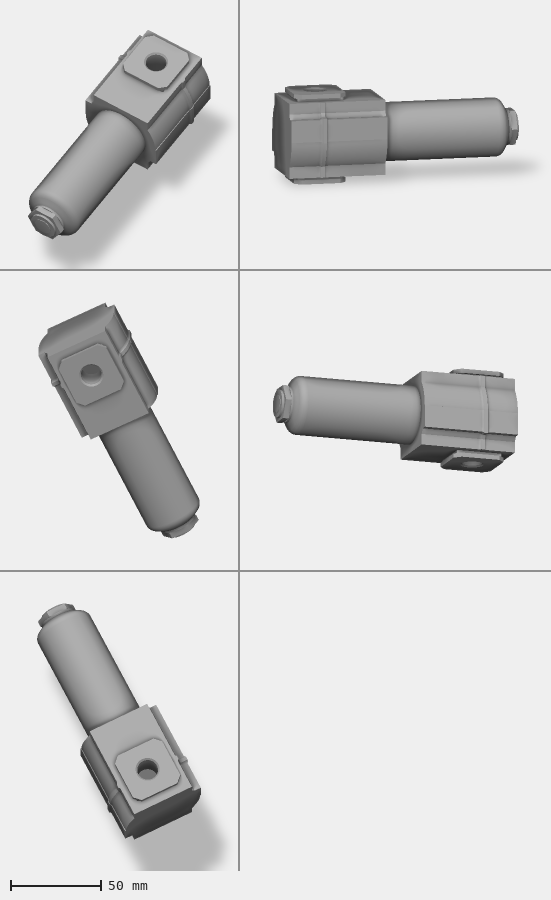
import cadquery as cq
import math


housing_height = 42.0
housing_length = 54.5
port_to_back = 18.9
wall_x = 17.8
lobe_x = 23.4
lobe_radius = 23.0
ledge_z = 12.2
ledge_inner_x = 19.5
bevel_top_z = 15.0

band_height = 0.8
band_flat_width = 2.1
band_fillet = 1.5
fillet_sections = 4

plate_width = 29.2
plate_corner = 3.6
plate_thickness = 2.4
overall_height = 50.3
neck_inset = 1.6
neck_corner = 0.5
port_radius = 5.7
port_chamfer = 0.9
port_depth = 16.0

bowl_radius = 16.4
bowl_straight = 65.8
shoulder_radius = 4.8
shoulder_angle = math.radians(58)
shoulder_length = 6.4
collar_radius = 10.2
collar_length = 1.3

hex_across_flats = 18.9
hex_length = 3.3
boss_radius = 7.8
boss_length = 1.3
tip_radius = 4.9
overall_length = 133.0

band_fillet_run = math.sqrt(band_fillet**2 - (band_fillet - band_height) ** 2)
half_height = housing_height / 2
plate_top = overall_height / 2
back_y = port_to_back
front_y = back_y - housing_length
shoulder_y = front_y - bowl_straight
collar_y = shoulder_y - shoulder_length
hex_y = collar_y - collar_length
boss_y = hex_y - hex_length
boss_end_y = boss_y - boss_length
tip_y = back_y - overall_length


def cylinder(radius, start_y, end_y):
    """Cylinder on the bowl axis, running toward -Y from start_y to end_y."""
    return cq.Workplane("XZ", origin=(0, start_y, 0)).circle(radius).extrude(start_y - end_y)


def side_outline(workplane, growth):
    """Draw the housing section, with its sides moved outward by growth.

    The section looks the same after half a turn about the bowl axis.
    """
    wall = wall_x + growth
    lobe = lobe_x + growth
    radius = lobe_radius + growth
    ledge = ledge_z + growth
    bevel_run = ledge_inner_x - wall_x
    bevel_rise = bevel_top_z - ledge_z
    bevel_length = math.hypot(bevel_run, bevel_rise)
    bevel_top = bevel_top_z + growth * (bevel_length - bevel_rise) / bevel_run
    ledge_inner = ledge_inner_x + growth * (bevel_length - bevel_run) / bevel_rise
    arc_end_z = math.sqrt(radius**2 - wall**2)
    step_z = growth
    arc_start_x = math.sqrt(radius**2 - step_z**2)
    middle_angle = (math.atan2(arc_end_z, wall) + math.atan2(step_z, arc_start_x)) / 2
    arc_middle = (radius * math.cos(middle_angle), radius * math.sin(middle_angle))

    outline = workplane.moveTo(wall, half_height)
    for side in (1, -1):
        outline = (
            outline.lineTo(side * wall, side * arc_end_z)
            .threePointArc(
                (side * arc_middle[0], side * arc_middle[1]),
                (side * arc_start_x, side * step_z),
            )
            .lineTo(side * lobe, side * step_z)
            .lineTo(side * lobe, -side * ledge)
            .lineTo(side * ledge_inner, -side * ledge)
            .lineTo(side * wall, -side * bevel_top)
            .lineTo(side * wall, -side * half_height)
            .lineTo(-side * wall, -side * half_height)
        )
    return outline.close()


def make_band_flank():
    """Rear flank of the band, a concave fillet from the wall up to the band top.

    It is a smooth loft through housing sections along the fillet arc.
    """
    fillet_start_y = band_flat_width / 2 + band_fillet_run
    fillet_angle = math.asin(band_fillet_run / band_fillet)
    flank = cq.Workplane("XZ", origin=(0, fillet_start_y, 0))
    previous_run = 0
    for section in range(fillet_sections):
        angle = fillet_angle * section / (fillet_sections - 1)
        run = band_fillet * math.sin(angle)
        growth = band_fillet * (1 - math.cos(angle))
        flank = side_outline(flank.workplane(offset=run - previous_run), growth)
        previous_run = run
    return flank.loft()


def make_band():
    """Raised band centred on the port axis, with a concave fillet along each edge."""
    middle_start = cq.Workplane("XZ", origin=(0, band_flat_width / 2, 0))
    middle = side_outline(middle_start, band_height).extrude(band_flat_width)
    flank = make_band_flank()
    return middle.union(flank).union(flank.mirror("XZ"))


def make_port_plate():
    """Upper port plate standing on its narrower neck."""
    neck_width = plate_width - 2 * neck_inset
    plate = (
        cq.Workplane("XY", origin=(0, 0, plate_top - plate_thickness))
        .rect(plate_width, plate_width)
        .extrude(plate_thickness)
        .edges("|Z")
        .chamfer(plate_corner)
    )
    neck = (
        cq.Workplane("XY", origin=(0, 0, half_height))
        .rect(neck_width, neck_width)
        .extrude(plate_top - plate_thickness - half_height)
        .edges("|Z")
        .chamfer(neck_corner)
    )
    return plate.union(neck)


def make_port_hole():
    """Blind upper port with a chamfered mouth, as a cutting shape."""
    return (
        cq.Workplane("XZ")
        .moveTo(0, plate_top)
        .lineTo(port_radius + port_chamfer, plate_top)
        .lineTo(port_radius, plate_top - port_chamfer)
        .lineTo(port_radius, plate_top - port_depth)
        .lineTo(0, plate_top - port_depth)
        .close()
        .revolve(360, (0, 0), (0, 1))
    )


def make_housing():
    """Housing block with its band and a ported plate on its upper and lower faces."""
    block = side_outline(cq.Workplane("XZ", origin=(0, back_y, 0)), 0).extrude(housing_length)
    housing = block.union(make_band())
    plate = make_port_plate()
    hole = make_port_hole()
    for turn in (0, 180):
        housing = housing.union(plate.rotate((0, 0, 0), (0, 1, 0), turn))
        housing = housing.cut(hole.rotate((0, 0, 0), (0, 1, 0), turn))
    return housing


def make_bowl():
    """Round bowl: straight wall, rounded shoulder, cone and end collar."""
    arc_centre_x = bowl_radius - shoulder_radius

    def shoulder_point(angle):
        return (
            arc_centre_x + shoulder_radius * math.cos(angle),
            shoulder_y - shoulder_radius * math.sin(angle),
        )

    return (
        cq.Workplane("XY")
        .moveTo(0, front_y)
        .lineTo(bowl_radius, front_y)
        .lineTo(bowl_radius, shoulder_y)
        .threePointArc(shoulder_point(shoulder_angle / 2), shoulder_point(shoulder_angle))
        .lineTo(collar_radius, collar_y)
        .lineTo(collar_radius, hex_y)
        .lineTo(0, hex_y)
        .close()
        .revolve(360, (0, 0), (0, 1))
    )


def make_drain_plug():
    """Hexagonal plug with two of its flats level, a round boss and a low tip."""
    hex_across_corners = hex_across_flats / math.cos(math.radians(30))
    hexagon = cq.Workplane("XZ", origin=(0, hex_y, 0)).polygon(6, hex_across_corners).extrude(hex_length)
    boss = cylinder(boss_radius, boss_y, boss_end_y)
    tip = cylinder(tip_radius, boss_end_y, tip_y)
    return hexagon.union(boss).union(tip)


housing = make_housing()
bowl = make_bowl()
drain_plug = make_drain_plug()
result = cq.Compound.makeCompound([housing.solids().val(), bowl.val(), drain_plug.solids().val()])